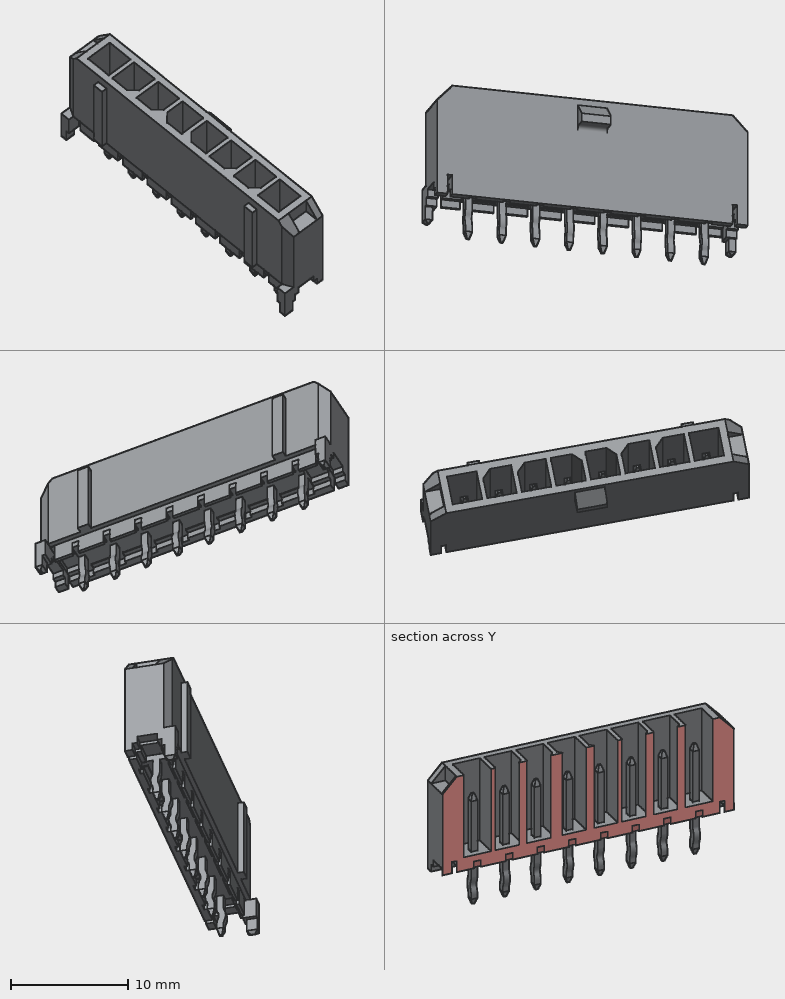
import cadquery as cq
import math


length = 27.65
half_depth = 1.95
height = 8.07
end_slope_run = 1.35
end_slope_rise = 1.4
corner_chamfer_x = 0.95
corner_chamfer_y = 0.5
end_pocket_front = -0.77

pin_count = 8
pitch = 3.0
cavity_size = 2.57
key_chamfer = 0.75
right_keyed = (1, 2, 5, 6)
left_keyed = (3, 4)

latch_width = 2.6
latch_reach = 1.15
latch_bottom = 5.58
latch_edge = 0.75
latch_fillet = 0.33
front_reach = 0.53
rib_offset = 9.3
rib_width = 1.02
rib_top = 7.25

skirt_drop = 1.82
skirt_front = -1.55
gap_ceiling = -0.08
channel_half_depth = cavity_size / 2
channel_ceiling = -1.15
foot_width = corner_chamfer_x
leg_width = 0.64
leg_back = -1.55
leg_drop = 3.25
leg_point = 0.28

pin_size = 0.6
bar_half_depth = 0.88
bar_top = -0.53
bar_bottom = -1.08
bend_top = -2.32
bend_angle = 25.0
arc_mid_points = (1, 3, 5)
side_bend_radius = 0.6
middle_bend_radius = 0.77
tip_length = 0.58
tip_width = 0.22
overall_height = 13.07
pin_bottom = height - overall_height
contact_top = latch_bottom

front = -half_depth - front_reach
wall = half_depth - cavity_size / 2
arm_half_length = -skirt_front
cavity_floor = bar_top + wall
skirt_half_length = length / 2 - end_slope_run
pin_places = [(i - (pin_count - 1) / 2) * pitch for i in range(pin_count)]


def box(x0, x1, y0, y1, z0, z1):
    """Box between two limits on each axis."""
    return cq.Workplane("XY").box(x1 - x0, y1 - y0, z1 - z0, centered=False).translate((x0, y0, z0))


def shell():
    """Block with bevelled front corners and sloped upper ends."""
    half = length / 2
    plan = (
        cq.Workplane("XY")
        .moveTo(-half, half_depth)
        .lineTo(-half, -half_depth + corner_chamfer_y)
        .lineTo(-half + corner_chamfer_x, -half_depth)
        .lineTo(half - corner_chamfer_x, -half_depth)
        .lineTo(half, -half_depth + corner_chamfer_y)
        .lineTo(half, half_depth)
        .close()
        .extrude(height)
    )
    elevation = (
        cq.Workplane("XZ")
        .moveTo(-half, 0)
        .lineTo(-half, height - end_slope_rise)
        .lineTo(-half + end_slope_run, height)
        .lineTo(half - end_slope_run, height)
        .lineTo(half, height - end_slope_rise)
        .lineTo(half, 0)
        .close()
        .extrude(half_depth, both=True)
    )
    return plan.intersect(elevation)


def end_pocket(side):
    """Flat-floored recess in the sloped end; side is -1 or 1."""
    inner, outer = sorted((side * (length / 2 - end_slope_run), side * length / 2))
    return box(inner, outer, end_pocket_front, cavity_size / 2, height - end_slope_rise, height)


def cavity(index):
    """Square well around one contact, with a keying bevel on one front corner of some wells."""
    x = pin_places[index]
    half = cavity_size / 2
    well = box(x - half, x + half, -half, half, cavity_floor, height)
    if index in right_keyed:
        well = well.edges("|Z and >X and <Y").chamfer(key_chamfer)
    if index in left_keyed:
        well = well.edges("|Z and <X and <Y").chamfer(key_chamfer)
    return well


def latch():
    """Ramped tab with a concave fillet under its root."""
    tip = half_depth + latch_reach
    edge_top = latch_bottom + latch_edge
    return (
        cq.Workplane("YZ")
        .moveTo(half_depth, edge_top + latch_reach)
        .lineTo(tip, edge_top)
        .lineTo(tip, latch_bottom)
        .lineTo(half_depth + latch_fillet, latch_bottom)
        .radiusArc((half_depth, latch_bottom - latch_fillet), -latch_fillet)
        .close()
        .extrude(latch_width / 2, both=True)
    )


def rib(x):
    """Vertical rib on the front face."""
    return box(x - rib_width / 2, x + rib_width / 2, front, -half_depth, 0, rib_top)


def foot(side):
    """End wall below the shell, with a pointed locating leg at its front."""
    wall_foot = box(0, foot_width, front, half_depth, -skirt_drop, 0)
    leg = box(0, leg_width, front, leg_back, -leg_drop, -skirt_drop).faces("<Z").edges().chamfer(leg_point)
    left_foot = wall_foot.union(leg).translate((-length / 2, 0, 0))
    return left_foot if side < 0 else left_foot.mirror("YZ")


def skirt():
    """Base under the shell, with a gap cut across it between the skirt and each foot."""
    half = length / 2
    base = box(-half, half, skirt_front, half_depth, gap_ceiling, 0)
    return base.union(box(-skirt_half_length, skirt_half_length, skirt_front, half_depth, -skirt_drop, 0))


def underside_channel():
    """Lengthwise opening under the housing, with the groove for the pin comb's bar."""
    half = length / 2
    opening = box(-half, half, -channel_half_depth, channel_half_depth, -skirt_drop, channel_ceiling)
    groove = box(-half, half, -bar_half_depth, bar_half_depth, channel_ceiling, bar_top)
    return opening.union(groove)


def pin_slot(x):
    """Slot for a pin's cross arm, open downwards and through the front of the skirt."""
    return box(x - pin_size / 2, x + pin_size / 2, skirt_front, arm_half_length, -skirt_drop, bar_top)


def contact_hole(x):
    """Square hole through the cavity floor for one contact."""
    half = pin_size / 2
    return box(x - half, x + half, -half, half, bar_top, cavity_floor)


def make_housing():
    body = shell().union(latch()).union(skirt())
    for side in (-1, 1):
        body = body.union(rib(side * rib_offset)).union(foot(side)).cut(end_pocket(side))
    body = body.cut(underside_channel())
    for index, x in enumerate(pin_places):
        body = body.cut(cavity(index)).cut(pin_slot(x)).cut(contact_hole(x))
    return body


def bend_points(face, bow):
    """Arc ends and mid points, from the top down, of one pin face (at Y = face) that bows along bow * Y."""
    angle = math.radians(bend_angle)
    outside = face * bow > 0
    r_side = side_bend_radius + (0 if outside else pin_size)
    r_middle = middle_bend_radius + (pin_size if outside else 0)

    def drop(radius, turn):
        return radius * math.sin(turn)

    def shift(radius, turn):
        return bow * radius * (1 - math.cos(turn))

    upper = [
        (face, bend_top),
        (face + shift(r_side, angle / 2), bend_top - drop(r_side, angle / 2)),
        (face + shift(r_side, angle), bend_top - drop(r_side, angle)),
    ]
    crest_z = upper[2][1] - drop(r_middle, angle)
    crest = (upper[2][0] + shift(r_middle, angle), crest_z)
    lower = [(y, 2 * crest_z - z) for y, z in reversed(upper)]
    return upper + [crest] + lower


def bent_shaft(bow):
    """Pin shaft below the bar, with a kink that bows towards the back (+1) or the front (-1)."""
    half = pin_size / 2
    back = bend_points(half, bow)
    fore = bend_points(-half, bow)[::-1]
    shaft_end = pin_bottom + tip_length
    outline = cq.Workplane("YZ").moveTo(half, bar_bottom)
    outline = outline.lineTo(*back[0])
    for i in arc_mid_points:
        outline = outline.threePointArc(back[i], back[i + 1])
    outline = outline.lineTo(half, shaft_end).lineTo(-half, shaft_end).lineTo(*fore[0])
    for i in arc_mid_points:
        outline = outline.threePointArc(fore[i], fore[i + 1])
    return outline.lineTo(-half, bar_bottom).close().extrude(half, both=True)


def tip(base_z, end_z):
    """Square pin end that tapers from base_z to a small flat at end_z."""
    return (
        cq.Workplane("XY", origin=(0, 0, base_z))
        .rect(pin_size, pin_size)
        .workplane(offset=end_z - base_z)
        .rect(tip_width, tip_width)
        .loft()
    )


def pin(bow):
    """One pin on the Z axis: cross arm at bar height, contact above it and kinked shaft below it."""
    half = pin_size / 2
    contact = box(-half, half, -half, half, bar_top, contact_top - tip_length)
    arm = box(-half, half, -arm_half_length, arm_half_length, bar_bottom, bar_top)
    return (
        contact.union(arm)
        .union(tip(contact_top - tip_length, contact_top))
        .union(bent_shaft(bow))
        .union(tip(pin_bottom + tip_length, pin_bottom))
    )


def make_pin_comb():
    """Pins joined by one bar; the kinks of neighbouring pins bow in opposite directions."""
    end = pin_places[-1] + pin_size / 2
    comb = box(-end, end, -bar_half_depth, bar_half_depth, bar_bottom, bar_top)
    for index, x in enumerate(pin_places):
        bow = 1 if index % 2 == 0 else -1
        comb = comb.union(pin(bow).translate((x, 0, 0)))
    return comb


housing = make_housing()
pin_comb = make_pin_comb()
result = cq.Compound.makeCompound([housing.val(), pin_comb.val()])